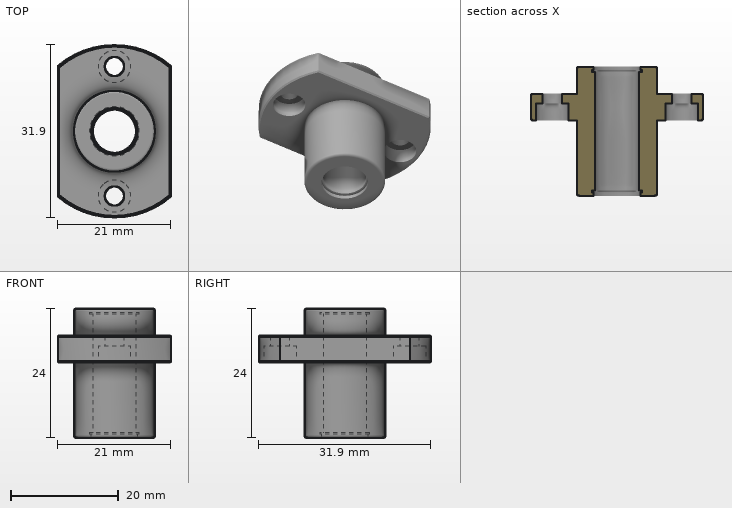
import cadquery as cq

sleeve_diameter = 15.0
sleeve_height = 24.0
sleeve_edge_radius = 0.5

flange_diameter = 31.9
flange_width = 21.0
flange_thickness = 5.0
flange_chamfer = 0.25
flange_top = sleeve_height - flange_thickness
flange_bottom = flange_top - flange_thickness

bore_diameter = 8.0
lip_diameter = 8.6
lip_depth = 0.7
groove_diameter = 9.2
groove_bottom_depth = 1.0

hole_spacing = 24.0
hole_diameter = 3.5
counterbore_diameter = 6.0
counterbore_depth = 3.1


def cylinder(diameter, bottom, top):
    """Cylinder on the Z axis between two heights."""
    return cq.Workplane("XY").workplane(offset=bottom).circle(diameter / 2).extrude(top - bottom)


def make_sleeve():
    return cylinder(sleeve_diameter, 0, sleeve_height).faces("<Z or >Z").edges().fillet(sleeve_edge_radius)


def make_flange():
    disc = cylinder(flange_diameter, flange_bottom, flange_top)
    flats = (
        cq.Workplane("XY")
        .workplane(offset=flange_bottom)
        .rect(flange_width, flange_diameter)
        .extrude(flange_thickness)
    )
    return disc.intersect(flats).faces("<Z or >Z").edges().chamfer(flange_chamfer)


def make_bore():
    bore = cylinder(bore_diameter, 0, sleeve_height)
    lower_lip = cylinder(lip_diameter, 0, lip_depth)
    lower_groove = cylinder(groove_diameter, lip_depth, groove_bottom_depth)
    upper_lip = cylinder(lip_diameter, sleeve_height - lip_depth, sleeve_height)
    upper_groove = cylinder(groove_diameter, sleeve_height - groove_bottom_depth, sleeve_height - lip_depth)
    return bore.union(lower_lip).union(lower_groove).union(upper_lip).union(upper_groove)


def make_mounting_hole():
    """Counterbored hole on the Z axis, to be moved into place."""
    hole = cylinder(hole_diameter, flange_bottom, flange_top)
    counterbore = cylinder(counterbore_diameter, flange_bottom, flange_bottom + counterbore_depth)
    return hole.union(counterbore)


result = make_flange()
for side in (-1, 1):
    result = result.cut(make_mounting_hole().translate((0, side * hole_spacing / 2, 0)))
result = result.union(make_sleeve()).cut(make_bore())